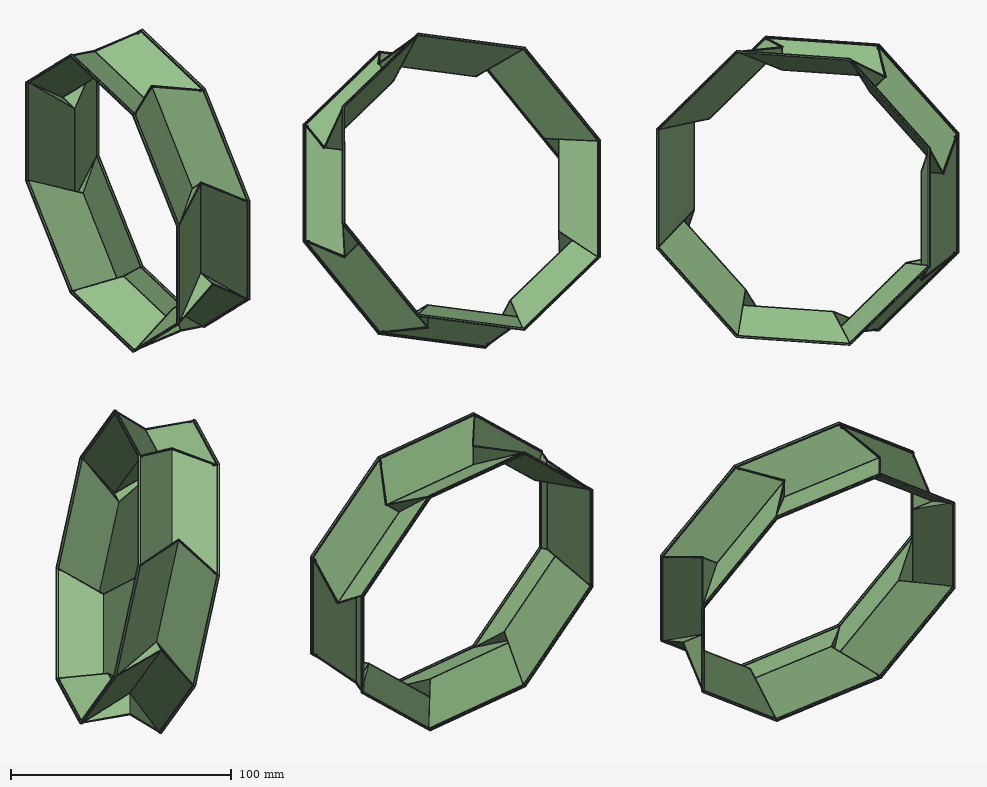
import cadquery as cq
import math

side_count = 8
across_flats = 132.0
ring_depth = 38.4
rim_width = 1.0
rim_thickness = 0.8
panel_inset = 0.4
fold_depth = 10.7
sheet = 0.2

step_angle = 360.0 / side_count
step = math.radians(step_angle)
apothem = across_flats / 2
half_depth = ring_depth / 2
half_side = apothem * math.tan(step / 2)
half_panel = half_depth - rim_width
panel_edge = apothem - panel_inset
valley = panel_edge - fold_depth
tail_setback = fold_depth / math.sin(step)
flap_setback = tail_setback - sheet
clear_length = 2 * across_flats


def octagon(flat_radius):
    """Solid octagonal prism along Y, as deep as the ring, with a flat on top."""
    outline = cq.Workplane("XZ").polygon(side_count, 2 * flat_radius / math.cos(step / 2))
    prism = outline.extrude(half_depth, both=True)
    return prism.rotate((0, 0, 0), (0, 1, 0), step_angle / 2)


def rims():
    """The two octagonal bands that carry the panels."""
    gap = cq.Workplane("XY").box(clear_length, 2 * half_panel, clear_length)
    return octagon(apothem).cut(octagon(apothem - rim_thickness)).cut(gap)


def chevron(setback):
    """Vertical prism over the top side whose +X end is notched to a V."""
    outline = [
        (-clear_length, -half_panel),
        (half_side, -half_panel),
        (half_side - setback, 0),
        (half_side, half_panel),
        (-clear_length, half_panel),
    ]
    return cq.Workplane("XY").polyline(outline).close().extrude(apothem)


def bar(section):
    """Long bar along X with the given (Y, Z) section."""
    return cq.Workplane("YZ").polyline(section).close().extrude(clear_length, both=True)


def folded_panel():
    """V-folded sheet of the top side, running back to the previous side's outer plane."""
    section = [
        (-half_panel, panel_edge),
        (0, valley),
        (half_panel, panel_edge),
        (half_panel, panel_edge - sheet),
        (0, valley - sheet),
        (-half_panel, panel_edge - sheet),
    ]
    return bar(section).intersect(chevron(flap_setback)).intersect(octagon(panel_edge))


def end_flap():
    """Thin upright V that closes the channel under the next panel's tail."""
    channel = bar([(-half_panel, panel_edge), (0, valley - sheet), (half_panel, panel_edge)])
    return chevron(flap_setback).cut(chevron(tail_setback)).intersect(channel)


result = rims()
top_side = folded_panel().union(end_flap())
for index in range(side_count):
    result = result.union(top_side.rotate((0, 0, 0), (0, 1, 0), index * step_angle))